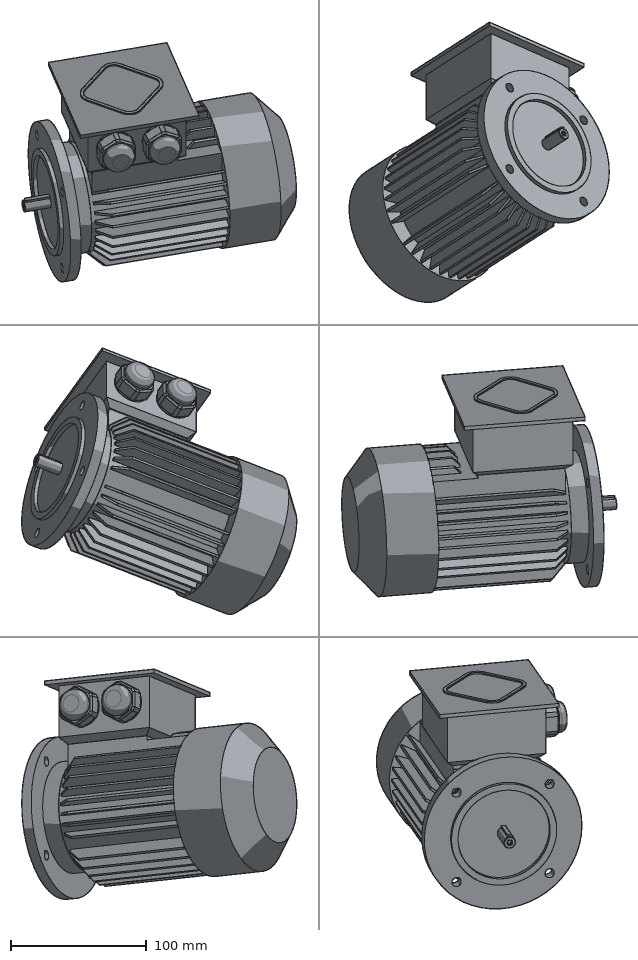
import cadquery as cq
import math


spigot_face_y = 17.0
flange_front_y = 19.9
flange_back_y = 27.9
collar_end_y = 41.0
fins_start_y = 43.8
cover_start_y = 142.9
cover_cone_y = 181.9
motor_end_y = 199.0

flange_diameter = 120.0
spigot_diameter = 80.0
spigot_recess_diameter = 70.0
spigot_recess_depth = flange_front_y - spigot_face_y
collar_diameter = 83.0
body_diameter = 82.0
cover_diameter = 110.0
cover_end_diameter = 70.8
bolt_hole_diameter = 7.0
bolt_circle_diameter = 100.0
bolt_count = 4
first_bolt_angle = 45

shaft_diameter = 9.0
key_width = 3.2
key_bottom_z = 2.8
key_top_z = 6.0
key_tip_y = 0.8
centre_hole_diameter = 3.2
centre_hole_depth = 4.0
centre_hole_chamfer = 0.5
shaft_tip_chamfer = 0.4

fin_radius = 53.5
fin_thickness = 1.8
fin_chamfer = 10.1
fin_step_angle = 10
lowest_fin_angle = -90
highest_fin_angle = 40
fin_gap_angle = -40
top_fin_pitch = 10.0
top_fins_per_side = 2
top_fin_start_y = 118.8
top_fin_chamfer = 6.0

saddle_width = 63.7
saddle_top_z = 44.4

box_size = 74.8
box_centre_y = 76.6
box_bottom_z = 52.1
box_foot_z = 47.4
box_foot_inset = box_bottom_z - box_foot_z
lid_size = 90.5
lid_bottom_z = 91.0
lid_top_z = 94.0

frame_side = 50.0
frame_centre_y = 75.0
frame_corner_radius = 10.0
frame_width = 2.4
frame_top_z = 95.02

gland_spacing = 35.0
gland_z = 72.0
gland_face_x = box_size / 2
washer_end_x = 39.2
nut_end_x = 49.8
gland_end_x = 57.0
nut_diameter = 29.5
nut_across_flats = 27.0
nut_chamfer = 1.4
washer_diameter = nut_across_flats
dome_diameter = 23.3
dome_fillet = 5.2


def disc(diameter, y_start, y_end):
    """Cylinder on the motor axis between two stations."""
    plane = cq.Workplane("XZ", origin=(0, y_start, 0))
    return plane.circle(diameter / 2).extrude(-(y_end - y_start))


def block(x_size, y_start, y_end, z_start, z_end):
    """Box centred on x = 0 between the given limits."""
    plane = cq.Workplane("XY", origin=(0, (y_start + y_end) / 2, z_start))
    return plane.rect(x_size, y_end - y_start).extrude(z_end - z_start)


def make_flange():
    """Flange with bolt holes and a recessed centring spigot."""
    flange = disc(flange_diameter, flange_front_y, flange_back_y)
    flange = flange.union(disc(spigot_diameter, spigot_face_y, flange_front_y))
    recess_floor_y = spigot_face_y + spigot_recess_depth
    flange = flange.cut(disc(spigot_recess_diameter, spigot_face_y, recess_floor_y))
    holes = (
        cq.Workplane("XZ", origin=(0, flange_front_y, 0))
        .polarArray(bolt_circle_diameter / 2, first_bolt_angle, 360, bolt_count)
        .circle(bolt_hole_diameter / 2)
        .extrude(-(flange_back_y - flange_front_y))
    )
    return flange.cut(holes)


def make_shaft():
    """Shaft with a bevelled tip, a countersunk centre hole with a conical bottom, and a key."""
    shaft_radius = shaft_diameter / 2
    hole_radius = centre_hole_diameter / 2
    shaft = (
        cq.Workplane("XY")
        .moveTo(0, centre_hole_depth)
        .lineTo(hole_radius, centre_hole_depth - hole_radius)
        .lineTo(hole_radius, centre_hole_chamfer)
        .lineTo(hole_radius + centre_hole_chamfer, 0)
        .lineTo(shaft_radius - shaft_tip_chamfer, 0)
        .lineTo(shaft_radius, shaft_tip_chamfer)
        .lineTo(shaft_radius, flange_front_y)
        .lineTo(0, flange_front_y)
        .close()
        .revolve(360, (0, 0, 0), (0, 1, 0))
    )
    tip_radius = key_width / 2
    tip_centre_y = key_tip_y + tip_radius
    key = block(key_width, tip_centre_y, flange_front_y, key_bottom_z, key_top_z)
    key_tip = (
        cq.Workplane("XY", origin=(0, tip_centre_y, key_bottom_z))
        .circle(tip_radius)
        .extrude(key_top_z - key_bottom_z)
    )
    return shaft.union(key).union(key_tip)


def make_cover():
    """Fan cover: a cylinder that ends in a cone."""
    return (
        cq.Workplane("XY")
        .moveTo(0, cover_start_y)
        .lineTo(cover_diameter / 2, cover_start_y)
        .lineTo(cover_diameter / 2, cover_cone_y)
        .lineTo(cover_end_diameter / 2, motor_end_y)
        .lineTo(0, motor_end_y)
        .close()
        .revolve(360, (0, 0, 0), (0, 1, 0))
    )


def make_fin(angle):
    """Radial fin, tilted upwards by the angle from +X, with a bevelled front end."""
    fin = (
        cq.Workplane("XY")
        .moveTo(0, fins_start_y)
        .lineTo(fin_radius - fin_chamfer, fins_start_y)
        .lineTo(fin_radius, fins_start_y + fin_chamfer)
        .lineTo(fin_radius, cover_start_y)
        .lineTo(0, cover_start_y)
        .close()
        .extrude(fin_thickness / 2, both=True)
    )
    return fin.rotate((0, 0, 0), (0, 1, 0), -angle)


def make_top_fins():
    """Upright fins between the box and the cover, trimmed by a bevelled cylinder."""
    envelope = disc(2 * fin_radius, top_fin_start_y, cover_start_y)
    envelope = envelope.faces("<Y").chamfer(top_fin_chamfer)
    plates = cq.Workplane("XY")
    for index in range(-top_fins_per_side, top_fins_per_side + 1):
        plate = block(fin_thickness, top_fin_start_y, cover_start_y, 0, fin_radius)
        plates = plates.union(plate.translate((index * top_fin_pitch, 0, 0)))
    return plates.intersect(envelope)


def make_body():
    """Collar, ribbed cylinder and the saddle that carries the box."""
    body = disc(collar_diameter, flange_back_y, collar_end_y)
    body = body.union(disc(body_diameter, collar_end_y, cover_start_y))
    body = body.union(block(saddle_width, fins_start_y, cover_start_y, 0, saddle_top_z))
    for angle in range(lowest_fin_angle, highest_fin_angle + 1, fin_step_angle):
        if angle == fin_gap_angle:
            continue
        body = body.union(make_fin(angle))
        if angle > lowest_fin_angle:
            body = body.union(make_fin(180 - angle))
    return body.union(make_top_fins())


def make_terminal_box():
    """Box with a tapered underside on a foot that joins the saddle, closed by a lid."""
    box_half = box_size / 2
    foot_half = box_half - box_foot_inset
    box_start_y = box_centre_y - box_half
    box_end_y = box_centre_y + box_half
    foot_start_y = box_centre_y - foot_half
    foot_end_y = box_centre_y + foot_half
    box = block(box_size, box_start_y, box_end_y, box_foot_z, lid_bottom_z)
    box = box.faces("<Z").chamfer(box_foot_inset)
    foot = block(saddle_width, foot_start_y, foot_end_y, 0, box_foot_z)
    lid_half = lid_size / 2
    lid = block(lid_size, box_centre_y - lid_half, box_centre_y + lid_half, lid_bottom_z, lid_top_z)
    return box.union(foot).union(lid).union(make_lid_frame())


def rounded_square(side, corner_radius):
    """Plate as thick as the raised frame."""
    plate = cq.Workplane("XY").rect(side, side).extrude(frame_top_z - lid_top_z)
    return plate.edges("|Z").fillet(corner_radius)


def make_lid_frame():
    """Raised rounded-square outline on the lid, turned to stand on a corner."""
    outer = rounded_square(frame_side, frame_corner_radius)
    inner = rounded_square(frame_side - 2 * frame_width, frame_corner_radius - frame_width)
    frame = outer.cut(inner).rotate((0, 0, 0), (0, 0, 1), 45)
    return frame.translate((0, frame_centre_y, lid_top_z))


def make_gland(y):
    """Cable gland: washer, rounded hexagon nut and domed cap."""
    base = cq.Workplane("YZ", origin=(gland_face_x, y, gland_z))
    washer = base.circle(washer_diameter / 2).extrude(washer_end_x - gland_face_x)

    nut_length = nut_end_x - washer_end_x
    nut_plane = base.workplane(offset=washer_end_x - gland_face_x)
    hexagon_diameter = nut_across_flats / math.cos(math.pi / 6)
    hexagon = nut_plane.transformed(rotate=(0, 0, 90)).polygon(6, hexagon_diameter).extrude(nut_length)
    nut = nut_plane.circle(nut_diameter / 2).extrude(nut_length)
    nut = nut.intersect(hexagon).faces(">X").chamfer(nut_chamfer)

    dome_plane = base.workplane(offset=nut_end_x - gland_face_x)
    dome = dome_plane.circle(dome_diameter / 2).extrude(gland_end_x - nut_end_x)
    dome = dome.faces(">X").edges().fillet(dome_fillet)
    return washer.union(nut).union(dome)


result = make_flange().union(make_shaft()).union(make_body()).union(make_cover())
result = result.union(make_terminal_box())
for side in (-1, 1):
    result = result.union(make_gland(box_centre_y + side * gland_spacing / 2))